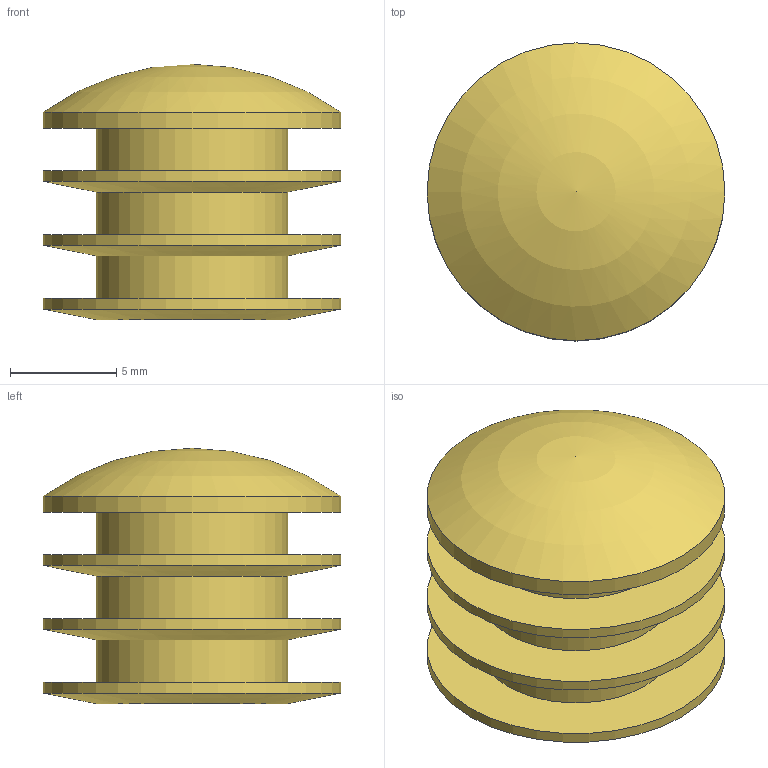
import cadquery as cq

outer_diameter = 14.0
stem_diameter = 9.0
total_height = 12.0
fin_count = 3
fin_pitch = 3.0
fin_rim_height = 0.5
fin_taper_height = 0.5
cap_rim_height = 0.75

outer_radius = outer_diameter / 2
stem_radius = stem_diameter / 2
cap_base_z = fin_count * fin_pitch
dome_base_z = cap_base_z + cap_rim_height
dome_height = total_height - dome_base_z
dome_radius = (outer_radius**2 + dome_height**2) / (2 * dome_height)


def make_stem():
    """Round core running from the bottom face up to the cap."""
    return cq.Workplane("XY").circle(stem_radius).extrude(cap_base_z)


def make_fin(base_z):
    """Sealing fin: a cone widening from the stem, topped by a thin straight rim."""
    rim_z = base_z + fin_taper_height
    top_z = rim_z + fin_rim_height
    half_profile = (
        cq.Workplane("XZ")
        .moveTo(0, base_z)
        .lineTo(stem_radius, base_z)
        .lineTo(outer_radius, rim_z)
        .lineTo(outer_radius, top_z)
        .lineTo(0, top_z)
        .close()
    )
    return half_profile.revolve(360, (0, 0, 0), (0, 1, 0))


def make_cap():
    """Head with a straight rim and a spherical dome."""
    half_profile = (
        cq.Workplane("XZ")
        .moveTo(0, cap_base_z)
        .lineTo(outer_radius, cap_base_z)
        .lineTo(outer_radius, dome_base_z)
        .radiusArc((0, total_height), -dome_radius)
        .close()
    )
    return half_profile.revolve(360, (0, 0, 0), (0, 1, 0))


result = make_stem().union(make_cap())
for fin_index in range(fin_count):
    result = result.union(make_fin(fin_index * fin_pitch))